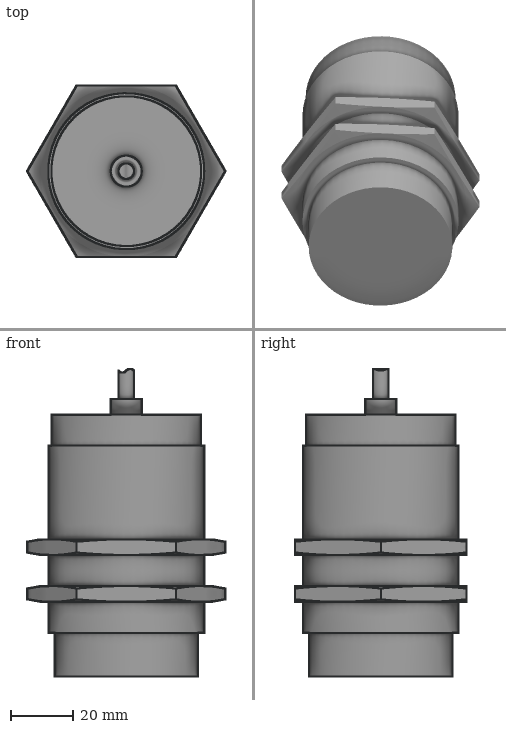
import cadquery as cq
import math

nose_diameter = 46.0
nose_height = 14.0
barrel_diameter = 50.0
barrel_height = 59.9
cap_diameter = 48.0
cap_height = 10.0
gland_diameter = 10.0
gland_height = 5.0
cable_diameter = 5.0
total_height = 98.6

wave_amplitude = 0.6

nut_across_flats = 55.0
nut_thickness = 5.0
nut_spacing = 15.0
lower_nut_offset = 10.0
nut_corner_drop = 0.8

barrel_bottom = nose_height
cap_bottom = barrel_bottom + barrel_height
gland_bottom = cap_bottom + cap_height
cable_bottom = gland_bottom + gland_height
lower_nut_bottom = barrel_bottom + lower_nut_offset


def cylinder(diameter, bottom, height):
    """Solid round section on the Z axis."""
    return cq.Workplane("XY").workplane(offset=bottom).circle(diameter / 2).extrude(height)


def hexagon_nut(bottom):
    """Hexagon with corners on X, its corners bevelled by a cone on both faces."""
    flat_radius = nut_across_flats / 2
    corner_radius = flat_radius / math.cos(math.pi / 6)
    hexagon = (
        cq.Workplane("XY")
        .polygon(6, 2 * corner_radius)
        .extrude(nut_thickness)
    )
    bevel_envelope = (
        cq.Workplane("XZ")
        .moveTo(0, 0)
        .lineTo(flat_radius, 0)
        .lineTo(corner_radius, nut_corner_drop)
        .lineTo(corner_radius, nut_thickness - nut_corner_drop)
        .lineTo(flat_radius, nut_thickness)
        .lineTo(0, nut_thickness)
        .close()
        .revolve(360, (0, 0, 0), (0, 1, 0))
    )
    return hexagon.intersect(bevel_envelope).translate((0, 0, bottom))


def broken_cable():
    """Round cable whose end is a trough on the -X half and a crest on the +X half."""
    radius = cable_diameter / 2
    wave_middle = total_height - wave_amplitude
    profile = (
        cq.Workplane("XZ")
        .moveTo(-radius, cable_bottom)
        .lineTo(-radius, wave_middle)
        .threePointArc((-radius / 2, wave_middle - wave_amplitude), (0, wave_middle))
        .threePointArc((radius / 2, total_height), (radius, wave_middle))
        .lineTo(radius, cable_bottom)
        .close()
        .extrude(radius, both=True)
    )
    return profile.intersect(cylinder(cable_diameter, cable_bottom, total_height - cable_bottom))


result = (
    cylinder(nose_diameter, 0, nose_height)
    .union(cylinder(barrel_diameter, barrel_bottom, barrel_height))
    .union(cylinder(cap_diameter, cap_bottom, cap_height))
    .union(cylinder(gland_diameter, gland_bottom, gland_height))
    .union(broken_cable())
)
for nut_index in range(2):
    result = result.union(hexagon_nut(lower_nut_bottom + nut_index * nut_spacing))